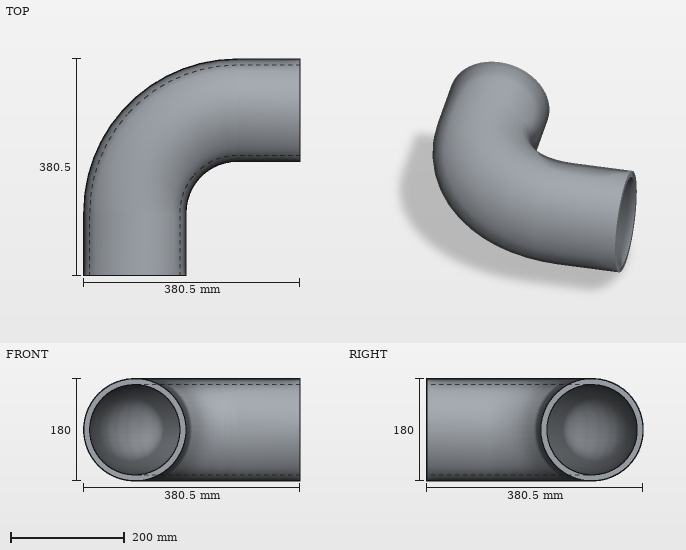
import cadquery as cq
import math

overall_length = 380.5
outer_diameter = 180.0
wall_thickness = 10.5
bend_radius = outer_diameter

outer_radius = outer_diameter / 2
inner_radius = outer_radius - wall_thickness
straight_length = overall_length - bend_radius - outer_radius

bend_middle = (
    bend_radius * (1 - math.cos(math.pi / 4)),
    bend_radius * math.sin(math.pi / 4),
)
centreline = (
    cq.Workplane("XY")
    .moveTo(0, -straight_length)
    .lineTo(0, 0)
    .threePointArc(bend_middle, (bend_radius, bend_radius))
    .lineTo(bend_radius + straight_length, bend_radius)
)

result = (
    cq.Workplane("XZ", origin=(0, -straight_length, 0))
    .circle(outer_radius)
    .circle(inner_radius)
    .sweep(centreline)
)